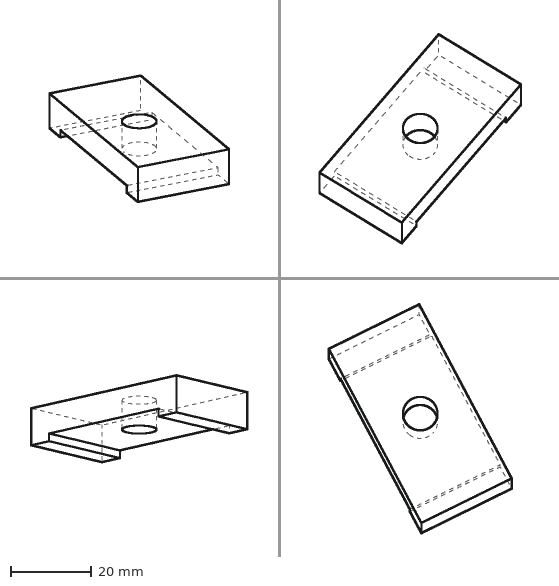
import cadquery as cq

length = 50.8
width = 25.4
height = 9.53
foot_length = 6.35
channel_depth = 1.98
hole_diameter = 8.66

channel_length = length - 2 * foot_length


def make_block():
    """Rectangular block standing on Z = 0, centred in X and Y."""
    return cq.Workplane("XY").box(length, width, height, centered=(True, True, False))


def make_channel():
    """Shallow channel across the underside, leaving a foot at each end."""
    return cq.Workplane("XY").box(channel_length, width, channel_depth, centered=(True, True, False))


def make_hole():
    """Vertical through hole at the centre of the block."""
    return cq.Workplane("XY").circle(hole_diameter / 2).extrude(height)


result = make_block().cut(make_channel()).cut(make_hole())